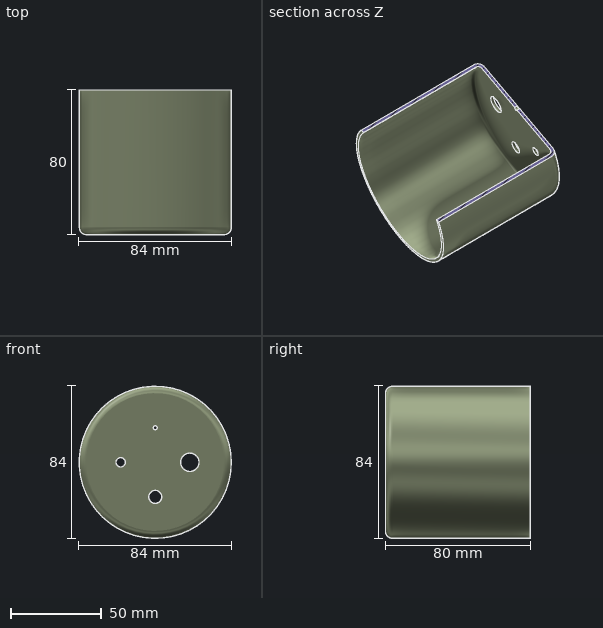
import cadquery as cq

outer_diameter = 84.0
length = 80.0
edge_radius = 4.0
wall = 2.0

hole_circle_radius = 19.1
right_hole_diameter = 10.0
bottom_hole_diameter = 7.05
left_hole_diameter = 5.0
top_hole_diameter = 2.0


def cylinder_along_y(diameter, start_y, depth, x=0, z=0):
    """Cylinder running from start_y toward +Y."""
    plane = cq.Workplane("XZ", origin=(x, start_y, z))
    return plane.circle(diameter / 2).extrude(-depth)


front_y = -length / 2
body = cylinder_along_y(outer_diameter, front_y, length)
body = body.faces("<Y").edges().fillet(edge_radius)

bore_diameter = outer_diameter - 2 * wall
bore = cylinder_along_y(bore_diameter, front_y + wall, length - wall)
bore = bore.faces("<Y").edges().fillet(edge_radius - wall)
body = body.cut(bore)

holes = [
    (right_hole_diameter, hole_circle_radius, 0),
    (bottom_hole_diameter, 0, -hole_circle_radius),
    (left_hole_diameter, -hole_circle_radius, 0),
    (top_hole_diameter, 0, hole_circle_radius),
]
for diameter, x, z in holes:
    body = body.cut(cylinder_along_y(diameter, front_y, wall, x, z))

result = body